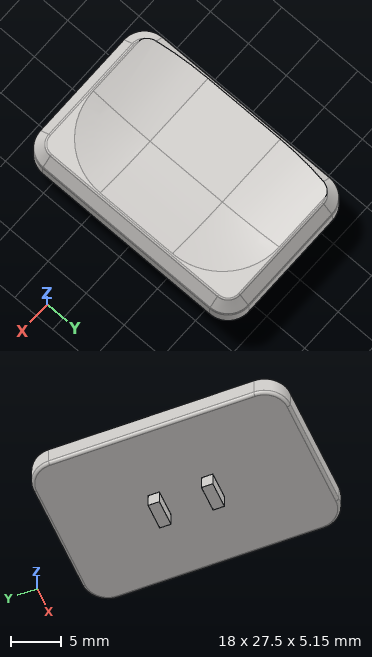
import cadquery as cq
import math

width = 18.0
length = 27.5
total_height = 5.15
body_height = 3.52
corner_radius = 2.75

top_chamfer = 1.25
edge_fillet = 0.28
bottom_fillet = 0.33

dish_depth = 0.9
dish_reach = 7.48
dish_half_length = 12.25
bank_start = dish_half_length - dish_reach
cut_clearance = 1.38

peg_width = 3.0
peg_thickness = 1.2
peg_spacing = 5.72
peg_height = total_height - body_height


def make_body():
    body = (
        cq.Workplane("XY")
        .rect(width, length)
        .extrude(body_height)
        .edges("|Z")
        .fillet(corner_radius)
    )
    body = body.faces("<Z").edges().fillet(bottom_fillet)
    body = body.faces(">Z").edges().chamfer(top_chamfer)
    body = body.faces(">Z").edges().fillet(edge_fillet)
    shoulder = cq.selectors.BoxSelector(
        (-width, -length, body_height - top_chamfer - edge_fillet / 2),
        (width, length, body_height - top_chamfer + edge_fillet / 2),
    )
    return body.edges(shoulder).fillet(edge_fillet)


def bank_profile(plane, origin):
    """Bank section: level at its axis, rising along one arc to the rim."""
    bank_radius = (dish_reach**2 + dish_depth**2) / (2 * dish_depth)
    floor = body_height - dish_depth
    ceiling = body_height + cut_clearance
    middle_run = dish_reach / 2
    middle_rise = bank_radius - math.sqrt(bank_radius**2 - middle_run**2)
    return (
        cq.Workplane(plane, origin=origin)
        .moveTo(0, floor)
        .threePointArc((middle_run, floor + middle_rise), (dish_reach, body_height))
        .lineTo(dish_reach, ceiling)
        .lineTo(0, ceiling)
        .close()
    )


def make_dish():
    open_run = width / 2 + cut_clearance
    cutter_height = dish_depth + cut_clearance
    dish = (
        cq.Workplane("XY", origin=(-open_run / 2, 0, body_height - dish_depth))
        .rect(open_run, 2 * bank_start)
        .extrude(cutter_height)
    )
    side_bank = bank_profile("XZ", (0, bank_start, 0)).extrude(2 * bank_start)
    end_bank = bank_profile("YZ", (0, bank_start, 0)).extrude(-open_run)
    corner = bank_profile("XZ", (0, bank_start, 0)).revolve(90, (0, 0, 0), (0, 1, 0))
    dish = dish.union(side_bank)
    for piece in (end_bank, corner):
        dish = dish.union(piece).union(piece.mirror("XZ"))
    return dish


def make_pegs():
    return (
        cq.Workplane("XY", origin=(0, 0, -peg_height))
        .rarray(0.28, peg_spacing, 1, 2)
        .rect(peg_width, peg_thickness)
        .extrude(peg_height + bottom_fillet)
    )


result = make_body().cut(make_dish()).union(make_pegs())